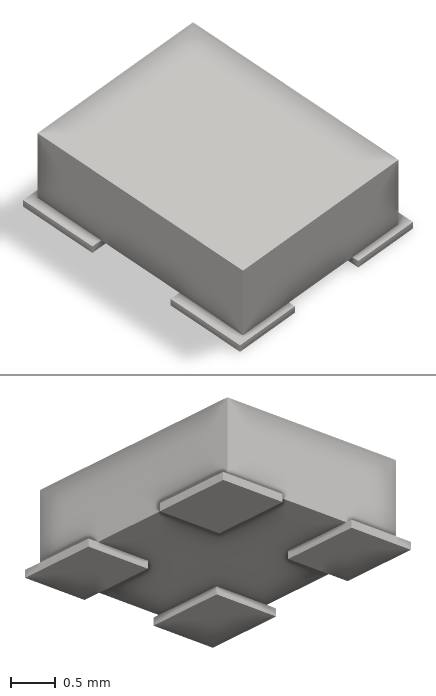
import cadquery as cq

body_length = 3.2
body_width = 2.5
body_height = 1.0

pad_length = 1.08
pad_width = 0.88
pad_thickness = 0.1
pad_pitch_x = 2.3
pad_pitch_y = 1.9


def make_body():
    """Plain block resting on top of the pads."""
    return (
        cq.Workplane("XY")
        .workplane(offset=pad_thickness)
        .box(body_length, body_width, body_height, centered=(True, True, False))
    )


def make_pad(center_x, center_y):
    """Flat terminal pad with its underside on Z = 0."""
    return (
        cq.Workplane("XY")
        .center(center_x, center_y)
        .box(pad_length, pad_width, pad_thickness, centered=(True, True, False))
    )


body = make_body()
pads = [
    make_pad(side_x * pad_pitch_x / 2, side_y * pad_pitch_y / 2)
    for side_x in (-1, 1)
    for side_y in (-1, 1)
]

result = cq.Compound.makeCompound([body.val(), *[pad.val() for pad in pads]])